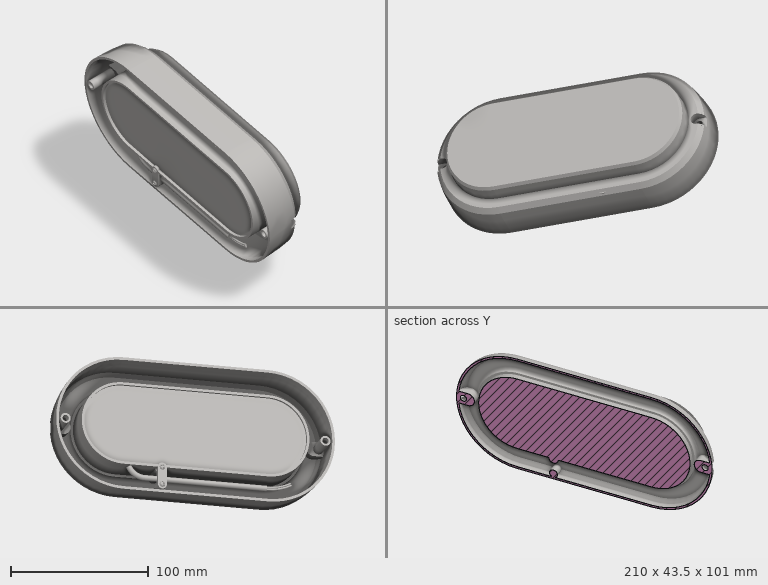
import cadquery as cq
import math

length = 210.0
height = 101.0
outer_radius = height / 2
half_straight = length / 2 - outer_radius

chamfer_depth = 25.5
shoulder_depth = 29.2
lens_edge_depth = 40.0
lens_depth = 42.2
floor_depth = 27.3
inner_chamfer_depth = 24.4

side_end_radius = 48.5
shoulder_radius = 45.0
lens_root_radius = 37.5
lens_edge_radius = 36.5
lens_face_radius = 34.9

rim_inner_radius = 48.5
inner_side_end_radius = 46.6
floor_radius = 43.9
ledge_radius = 33.2
root_fillet = 2.7
cup_radius = 31.3
panel_radius = 29.5
panel_depth = 2.0

mount_x = 97.9
boss_radius = 3.8
hole_radius = 2.3
seat_radius = 4.2
seat_depth = 21.6
tab_half_width = 5.5
tab_end_x = 94.3
tab_depth = 20.0

cable_radius = 2.0
cable_z = -39.3
cable_y = 4.2
cable_start_x = -37.4
bend_radius = 13.0
bend_angle = 65.0
wire_radius = 0.74
wire_sweep = 28.0

clamp_x = -25.0
clamp_radius = 3.4
clamp_thickness = 4.5
upper_screw_z = -31.0
lower_screw_z = -44.3
upper_post_radius = 4.0
screw_radius = 2.0
screw_height = 1.3
screw_slot_width = 0.8
screw_slot_depth = 0.8


def side_arc_middle(start_radius, end_radius, depth):
    """Midpoint of a side arc that leaves the mounting face square to it."""
    inset = start_radius - end_radius
    arc_radius = (inset**2 + depth**2) / (2 * inset)
    half_angle = math.asin(depth / arc_radius) / 2
    return start_radius - arc_radius * (1 - math.cos(half_angle)), arc_radius * math.sin(half_angle)


def oval_solid(profile):
    """Sweep a closed half profile (radius, depth) around the stadium path."""
    outline = profile.val()
    half_turn = cq.Workplane("XY").add(outline).toPending().revolve(180, (0, 0), (0, 1))
    right_cap = half_turn.rotate((0, 0, 0), (0, 1, 0), -90).translate((half_straight, 0, 0))
    left_cap = half_turn.rotate((0, 0, 0), (0, 1, 0), 90).translate((-half_straight, 0, 0))
    straight = cq.Workplane("XY").add(outline).toPending().extrude(half_straight, both=True)
    upper_side = straight.rotate((0, 0, 0), (0, 1, 0), -90)
    lower_side = upper_side.mirror("XY")
    return right_cap.union(left_cap).union(upper_side).union(lower_side)


def cylinder_y(x, z, radius, start, end):
    """Cylinder along Y between two depths."""
    return cq.Workplane("XZ", origin=(x, start, z)).circle(radius).extrude(start - end)


def housing_body():
    side_middle = side_arc_middle(outer_radius, side_end_radius, chamfer_depth)
    profile = (
        cq.Workplane("XY")
        .lineTo(outer_radius, 0)
        .threePointArc(side_middle, (side_end_radius, chamfer_depth))
        .lineTo(shoulder_radius, shoulder_depth)
        .lineTo(lens_root_radius, shoulder_depth)
        .lineTo(lens_edge_radius, lens_edge_depth)
        .lineTo(lens_face_radius, lens_depth)
        .lineTo(0, lens_depth)
        .close()
    )
    return oval_solid(profile)


def ring_cavity():
    """Trough between the outer wall and the central cup."""
    side_middle = side_arc_middle(rim_inner_radius, inner_side_end_radius, inner_chamfer_depth)
    ledge_depth = floor_depth - root_fillet
    fillet_sag = root_fillet * (1 - math.sqrt(0.5))
    profile = (
        cq.Workplane("XY")
        .moveTo(cup_radius, 0)
        .lineTo(rim_inner_radius, 0)
        .threePointArc(side_middle, (inner_side_end_radius, inner_chamfer_depth))
        .lineTo(floor_radius, floor_depth)
        .lineTo(ledge_radius + root_fillet, floor_depth)
        .threePointArc(
            (ledge_radius + fillet_sag, floor_depth - fillet_sag),
            (ledge_radius, ledge_depth),
        )
        .lineTo(cup_radius, ledge_depth)
        .close()
    )
    return oval_solid(profile)


def panel_recess():
    return oval_solid(cq.Workplane("XY").rect(panel_radius, panel_depth, centered=False))


def mount_solid(side):
    """Screw boss and the round-ended tab that covers the screw seat."""
    boss = cylinder_y(side * mount_x, 0, boss_radius, 0, floor_depth)
    tab_length = mount_x + boss_radius - tab_end_x
    tab = (
        cq.Workplane("XY")
        .box(tab_length, floor_depth - tab_depth, 2 * tab_half_width)
        .translate((side * (tab_end_x + tab_length / 2), (floor_depth + tab_depth) / 2, 0))
    )
    tab_end = cylinder_y(side * tab_end_x, 0, tab_half_width, tab_depth, floor_depth)
    return boss.union(tab).union(tab_end)


def mount_cut(side):
    """Through hole and the seat slot behind it."""
    hole = cylinder_y(side * mount_x, 0, hole_radius, 0, lens_depth)
    seat = cylinder_y(side * mount_x, 0, seat_radius, seat_depth, shoulder_depth)
    slot_length = length / 2 - mount_x
    slot = (
        cq.Workplane("XY")
        .box(slot_length, shoulder_depth - seat_depth, 2 * seat_radius)
        .translate((side * (mount_x + slot_length / 2), (shoulder_depth + seat_depth) / 2, 0))
    )
    return hole.union(seat).union(slot)


def cable():
    """Straight run with a bend that enters the cup wall."""
    angle = math.radians(bend_angle)
    path = (
        cq.Workplane("XZ", origin=(0, cable_y, 0))
        .moveTo(half_straight, cable_z)
        .lineTo(cable_start_x, cable_z)
        .tangentArcPoint(
            (-bend_radius * math.sin(angle), bend_radius * (1 - math.cos(angle))), relative=True
        )
    )
    return (
        cq.Workplane("YZ", origin=(half_straight, cable_y, cable_z))
        .circle(cable_radius)
        .sweep(path)
    )


def wires():
    """Two bare wires that follow the round end of the housing."""
    pair = cq.Workplane("XY")
    for offset in (-wire_radius, wire_radius):
        wire_z = cable_z + offset
        wire = (
            cq.Workplane("YZ", origin=(half_straight, cable_y, wire_z))
            .circle(wire_radius)
            .revolve(wire_sweep, (0, -wire_z), (-1, -wire_z))
        )
        pair = pair.union(wire)
    return pair


def screw_head(z):
    """Domed head with a cross recess, standing proud of the clamp."""
    rise = screw_height * (1 - math.sqrt(0.5))
    head = (
        cq.Workplane("XY")
        .moveTo(0, 0)
        .lineTo(screw_radius, 0)
        .threePointArc((screw_radius * math.sqrt(0.5), rise - screw_height), (0, -screw_height))
        .close()
        .revolve(360, (0, 0), (0, 1))
    )
    slot_size = 1.4 * screw_radius
    for width, tall in ((slot_size, screw_slot_width), (screw_slot_width, slot_size)):
        slot = cq.Workplane("XY").box(width, 2 * screw_slot_depth, tall)
        head = head.cut(slot.translate((0, -screw_height, 0)))
    return head.translate((clamp_x, 0, z))


def clamp():
    screw_spacing = upper_screw_z - lower_screw_z
    middle_z = (upper_screw_z + lower_screw_z) / 2
    parts = (
        cq.Workplane("XZ", origin=(clamp_x, 0, middle_z))
        .slot2D(screw_spacing + 2 * clamp_radius, 2 * clamp_radius, 90)
        .extrude(-clamp_thickness)
    )
    upper_post = cylinder_y(clamp_x, upper_screw_z, upper_post_radius, clamp_thickness, floor_depth)
    lower_post = cylinder_y(clamp_x, lower_screw_z, clamp_radius, clamp_thickness, floor_depth)
    parts = parts.union(upper_post).union(lower_post)
    for z in (upper_screw_z, lower_screw_z):
        parts = parts.union(screw_head(z))
    return parts


body = housing_body().cut(ring_cavity()).cut(panel_recess())
for end in (-1, 1):
    body = body.union(mount_solid(end))
for end in (-1, 1):
    body = body.cut(mount_cut(end))
result = body.union(cable()).union(wires()).union(clamp())